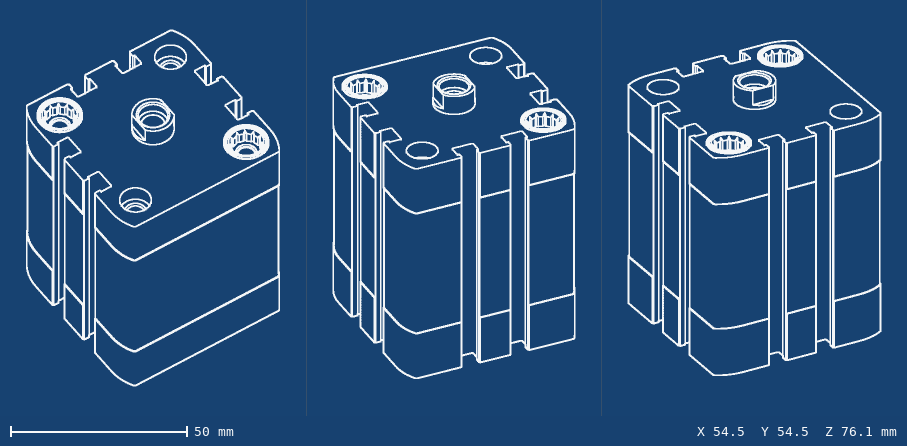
import cadquery as cq
import math

WIDTH = 54.5
TOTAL_HEIGHT = 76.1
ROD_STICK_OUT = 6.0
HOUSING_HEIGHT = TOTAL_HEIGHT - ROD_STICK_OUT
CAP_HEIGHT = 15.0
TUBE_HEIGHT = HOUSING_HEIGHT - 2 * CAP_HEIGHT
TUBE_INSET = 0.2

CORNER_ARC_RADIUS = 15.0
CORNER_ARC_START = 19.1
CORNER_EDGE_RADIUS = 1.0

SLOT_OFFSET = 7.7
SLOT_MOUTH_WIDTH = 5.4
SLOT_INNER_WIDTH = 6.6
SLOT_LIP = 1.9
SLOT_DEPTH = 5.55
SLOT_MOUTH_ROUND = 0.3
SLOT_FLOOR_ROUND = 0.4

SCREW_OFFSET = 19.0
THROUGH_DIAMETER = 4.95
COUNTERSINK_DIAMETER = 6.0
COUNTERBORE_DIAMETER = 9.0
COUNTERBORE_DEPTH = 5.0

GROOVE_OUTER_DIAMETER = 12.8
HEAD_DIAMETER = 11.9
HEAD_CHAMFER = 0.4
GROOVE_DEPTH = 0.6
SOCKET_MOUTH_DIAMETER = 10.05
SOCKET_DIAMETER = 8.6
SOCKET_TIP_DIAMETER = 9.5
SOCKET_CONE_DEPTH = 1.5
SOCKET_DEPTH = 4.7
SOCKET_POINTS = 12
SQUARE_CORNERS = 4

ROD_DIAMETER = 12.0
ROD_LENGTH = ROD_STICK_OUT + CAP_HEIGHT
FLATS_WIDTH = 10.0
FLATS_LENGTH = 4.6
FLATS_RUN_OUT = 0.4
BORE_MOUTH_DIAMETER = 9.4
BORE_DIAMETER = 8.5
BORE_DEPTH = 3.4
THREAD_DIAMETER = 6.6
THREAD_DEPTH = 12.0
BORE_STEP_ANGLE = 120
DRILL_POINT_ANGLE = 118


def cylinder(diameter, bottom, top):
    """A Z-axis cylinder between two heights."""
    return cq.Workplane("XY").workplane(offset=bottom).circle(diameter / 2).extrude(top - bottom)


def cone(bottom_diameter, top_diameter, bottom, top):
    """A Z-axis cone frustum between two heights; either diameter may be zero."""
    solid = cq.Solid.makeCone(
        bottom_diameter / 2, top_diameter / 2, top - bottom, pnt=cq.Vector(0, 0, bottom)
    )
    return cq.Workplane("XY").newObject([solid])


def section_block(half_width, bottom, height):
    """The housing section without slots: flat sides, with large arcs running into the X sides."""
    arc_center_y = half_width - CORNER_ARC_RADIUS
    run = half_width - CORNER_ARC_START
    arc_end_y = arc_center_y + math.sqrt(CORNER_ARC_RADIUS**2 - run**2)
    middle_run = CORNER_ARC_RADIUS * math.sin(math.asin(run / CORNER_ARC_RADIUS) / 2)
    middle_x = CORNER_ARC_START + middle_run
    middle_y = arc_center_y + math.sqrt(CORNER_ARC_RADIUS**2 - middle_run**2)
    block = (
        cq.Workplane("XY").workplane(offset=bottom)
        .moveTo(-CORNER_ARC_START, half_width)
        .lineTo(CORNER_ARC_START, half_width)
        .threePointArc((middle_x, middle_y), (half_width, arc_end_y))
        .lineTo(half_width, -arc_end_y)
        .threePointArc((middle_x, -middle_y), (CORNER_ARC_START, -half_width))
        .lineTo(-CORNER_ARC_START, -half_width)
        .threePointArc((-middle_x, -middle_y), (-half_width, -arc_end_y))
        .lineTo(-half_width, arc_end_y)
        .threePointArc((-middle_x, middle_y), (-CORNER_ARC_START, half_width))
        .close()
        .extrude(height)
    )
    return block.edges("|Z and (>X or <X)").fillet(CORNER_EDGE_RADIUS)


def slot_cutter(offset):
    """One T-slot open to the -Y side, its mouth edges and floor corners rounded."""
    outer = -WIDTH / 2
    mouth = SLOT_MOUTH_WIDTH / 2
    inner = SLOT_INNER_WIDTH / 2
    lip_y = outer + SLOT_LIP
    floor_y = outer + SLOT_DEPTH
    return (
        cq.Workplane("XY")
        .moveTo(offset - mouth - SLOT_MOUTH_ROUND, outer)
        .radiusArc((offset - mouth, outer + SLOT_MOUTH_ROUND), SLOT_MOUTH_ROUND)
        .lineTo(offset - mouth, lip_y)
        .lineTo(offset - inner, lip_y)
        .lineTo(offset - inner, floor_y - SLOT_FLOOR_ROUND)
        .radiusArc((offset - inner + SLOT_FLOOR_ROUND, floor_y), SLOT_FLOOR_ROUND)
        .lineTo(offset + inner - SLOT_FLOOR_ROUND, floor_y)
        .radiusArc((offset + inner, floor_y - SLOT_FLOOR_ROUND), SLOT_FLOOR_ROUND)
        .lineTo(offset + inner, lip_y)
        .lineTo(offset + mouth, lip_y)
        .lineTo(offset + mouth, outer + SLOT_MOUTH_ROUND)
        .radiusArc((offset + mouth + SLOT_MOUTH_ROUND, outer), SLOT_MOUTH_ROUND)
        .close()
        .extrude(HOUSING_HEIGHT)
    )


def through_hole(recess_floor):
    """A hole through the housing, countersunk at the floor of its recess."""
    countersink_depth = (COUNTERSINK_DIAMETER - THROUGH_DIAMETER) / 2
    countersink = cone(
        THROUGH_DIAMETER, COUNTERSINK_DIAMETER, recess_floor - countersink_depth, recess_floor
    )
    return cylinder(THROUGH_DIAMETER, 0, HOUSING_HEIGHT).union(countersink)


def counterbored_hole():
    """A counterbored through hole."""
    floor = HOUSING_HEIGHT - COUNTERBORE_DEPTH
    return through_hole(floor).union(cylinder(COUNTERBORE_DIAMETER, floor, HOUSING_HEIGHT))


def socket_recess():
    """A ring groove around a chamfered head with a conical mouth and a twelve-point socket."""
    top = HOUSING_HEIGHT
    floor = top - SOCKET_DEPTH
    groove_floor = top - GROOVE_DEPTH
    head = cylinder(HEAD_DIAMETER, groove_floor, top).faces(">Z").chamfer(HEAD_CHAMFER)
    groove = cylinder(GROOVE_OUTER_DIAMETER, groove_floor, top).cut(head)

    mouth_slope = SOCKET_CONE_DEPTH / (SOCKET_MOUTH_DIAMETER - SOCKET_DIAMETER)
    point_depth = mouth_slope * SOCKET_MOUTH_DIAMETER
    mouth = cone(0, SOCKET_MOUTH_DIAMETER, top - point_depth, top)
    tip_depth = mouth_slope * (SOCKET_MOUTH_DIAMETER - SOCKET_TIP_DIAMETER)
    star = cylinder(SOCKET_DIAMETER, floor, top - SOCKET_CONE_DEPTH)
    point_angle = 360 / SOCKET_POINTS
    square_side = SOCKET_TIP_DIAMETER / math.sqrt(2)
    for index in range(SOCKET_POINTS // SQUARE_CORNERS):
        square = (
            cq.Workplane("XY").workplane(offset=floor)
            .rect(square_side, square_side)
            .extrude(SOCKET_DEPTH - tip_depth)
            .rotate((0, 0, 0), (0, 0, 1), (index + 0.5) * point_angle)
        )
        star = star.union(square)
    return star.union(mouth).union(through_hole(floor)).union(groove)


def make_housing():
    """Two end caps with a slightly smaller tube between them, in one solid."""
    half_width = WIDTH / 2
    top_cap_base = HOUSING_HEIGHT - CAP_HEIGHT
    housing = section_block(half_width, 0, CAP_HEIGHT)
    housing = housing.union(section_block(half_width - TUBE_INSET, CAP_HEIGHT, TUBE_HEIGHT))
    housing = housing.union(section_block(half_width, top_cap_base, CAP_HEIGHT))

    for turn in (0, -90, 180):
        for offset in (-SLOT_OFFSET, SLOT_OFFSET):
            housing = housing.cut(slot_cutter(offset).rotate((0, 0, 0), (0, 0, 1), turn))

    for side in (-1, 1):
        socket_place = (side * SCREW_OFFSET, side * SCREW_OFFSET, 0)
        counterbore_place = (side * SCREW_OFFSET, -side * SCREW_OFFSET, 0)
        housing = housing.cut(socket_recess().translate(socket_place))
        housing = housing.cut(counterbored_hole().translate(counterbore_place))

    return housing.cut(cylinder(ROD_DIAMETER, top_cap_base, HOUSING_HEIGHT))


def flat_cutter():
    """Removes the -Y side of the rod end, leaving a flat with a sloping run-out below it."""
    flat_y = -FLATS_WIDTH / 2
    outer_y = -ROD_DIAMETER / 2
    flat_bottom = TOTAL_HEIGHT - FLATS_LENGTH
    return (
        cq.Workplane("YZ")
        .moveTo(flat_y, TOTAL_HEIGHT)
        .lineTo(flat_y, flat_bottom)
        .lineTo(outer_y, flat_bottom - FLATS_RUN_OUT)
        .lineTo(outer_y, TOTAL_HEIGHT)
        .close()
        .extrude(ROD_DIAMETER / 2, both=True)
    )


def make_rod():
    """The piston rod end with two wrench flats and a stepped blind bore."""
    top = TOTAL_HEIGHT
    rod = cylinder(ROD_DIAMETER, top - ROD_LENGTH, top)
    for turn in (0, 180):
        rod = rod.cut(flat_cutter().rotate((0, 0, 0), (0, 0, 1), turn))

    chamfer_depth = (BORE_MOUTH_DIAMETER - BORE_DIAMETER) / 2
    thread_bottom = top - THREAD_DEPTH
    point_depth = THREAD_DIAMETER / 2 / math.tan(math.radians(DRILL_POINT_ANGLE / 2))
    rod = rod.cut(cone(BORE_DIAMETER, BORE_MOUTH_DIAMETER, top - chamfer_depth, top))
    step_top = top - BORE_DEPTH
    step_depth = (BORE_DIAMETER - THREAD_DIAMETER) / 2 / math.tan(math.radians(BORE_STEP_ANGLE / 2))
    rod = rod.cut(cylinder(BORE_DIAMETER, step_top, top))
    rod = rod.cut(cone(THREAD_DIAMETER, BORE_DIAMETER, step_top - step_depth, step_top))
    rod = rod.cut(cylinder(THREAD_DIAMETER, thread_bottom, top))
    return rod.cut(cone(0, THREAD_DIAMETER, thread_bottom - point_depth, thread_bottom))


housing = make_housing()
piston_rod = make_rod()

result = cq.Compound.makeCompound([housing.val(), piston_rod.val()])